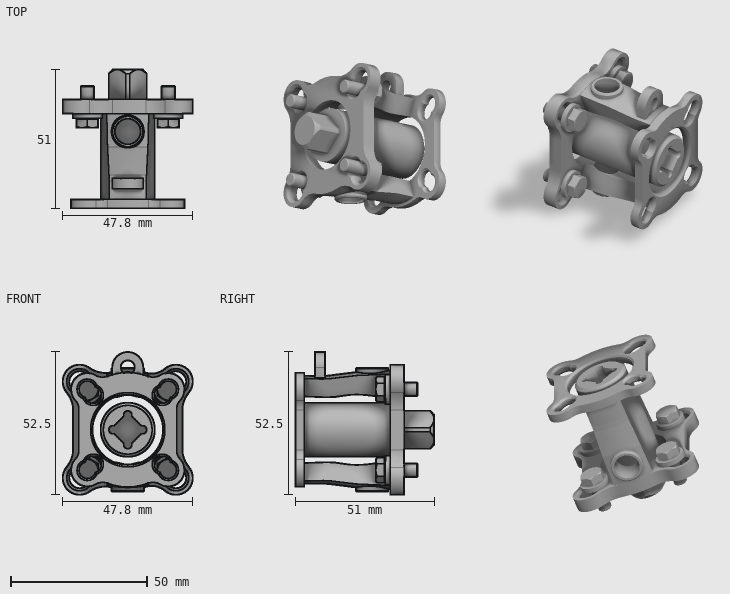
import cadquery as cq
import math


total_depth = 51.0
total_height = 52.55

small_pitch = 12.7
middle_pitch = 14.85
large_pitch = 17.7
bolt_pitch = middle_pitch

front_thickness = 3.3
front_lobe_radius = 6.0
front_side_width = 35.8
front_crown_radius = 21.0
front_blend = 4.95
front_hole_diameter = 6.1
front_hole_chamfer = 0.75

rear_face_y = 34.85
rear_thickness = 5.15
rear_end_y = rear_face_y + rear_thickness
rear_half_width = 47.85 / 2
rear_lobe_radius = rear_half_width - large_pitch
rear_side_width = 40.25
rear_crown_radius = 22.0
rear_blend = 10.0
rear_tight_blend = 7.5
rear_hole_diameter = 7.45
rear_bolt_hole_diameter = 6.1
rear_hole_chamfer = 1.0

centre_hole_diameter = 25.9
centre_hole_chamfer = 0.75

arm_half_angle = 20.0
arm_flare = 0.25
arm_front_radius = 19.85
arm_bend_start_y = 10.2
arm_bend_end_y = 12.4
arm_bend_end_radius = 19.95
arm_crease_y = 22.65
arm_crease_radius = 21.3
arm_crease_inner_radius = 13.75
arm_rear_radius = 21.85
arm_inner_rear_points = [(13.65, 25.25), (13.2, 29.1)]
arm_inner_front_points = [(12.75, 8.8), (12.75, 14.1), (13.65, 20.15)]

boss_y = 28.2
boss_diameter = 12.0
boss_hole_diameter = 9.4
boss_root = 18.4
boss_height = 22.85
boss_chamfer = 0.4

ear_radius = 5.7
ear_centre_z = total_height - rear_half_width - ear_radius
ear_root_z = 17.35
ear_y = 7.15
ear_thickness = 3.85
ear_hole_diameter = 5.1

shaft_diameter = 20.0
shaft_chamfer = 1.05
square_width = 11.0
square_corner_diameter = 14.0
square_chamfer = 1.5
socket_width = 9.15
socket_depth = 11.55
socket_relief_diameter = 3.05
socket_relief_offset = 5.4

washer_thickness = 1.8
washer_diameter = 10.8
washer_hole_diameter = 5.4
washer_front_y = rear_face_y - washer_thickness
bolt_diameter = 5.0
bolt_tip_y = 45.0
bolt_tip_chamfer = 0.35
collar_diameter = 6.9
collar_thickness = 0.3
head_width = 8.0
head_corner_diameter = head_width / math.cos(math.radians(30))
head_thickness = 3.15
head_bevel_height = 0.45
head_rear_y = washer_front_y - collar_thickness
head_front_y = head_rear_y - head_thickness



def cylinder_y(diameter, start_y, end_y, x=0.0, z=0.0):
    """A round bar parallel to Y."""
    return cq.Workplane("XZ", origin=(x, start_y, z)).circle(diameter / 2).extrude(start_y - end_y)


def cylinder_z(diameter, start_z, end_z, y):
    """A round bar parallel to Z in the plane X = 0."""
    return cq.Workplane("XY", origin=(0, y, start_z)).circle(diameter / 2).extrude(end_z - start_z)


def diamond_bar(width, start_y, end_y):
    """A square bar on the Y axis, standing on one edge."""
    return (
        cq.Workplane("XZ", origin=(0, start_y, 0))
        .transformed(rotate=(0, 0, 45))
        .rect(width, width)
        .extrude(start_y - end_y)
    )


def rim_chamfer(diameter, chamfer, rim_y, inward, x, z):
    """Cutter for a 45 degree chamfer on a hole rim; inward is the Y direction into the hole."""
    radius = diameter / 2
    rim_centre = cq.Vector(x, rim_y, z)
    cone = cq.Solid.makeCone(radius + chamfer, radius, chamfer, pnt=rim_centre, dir=cq.Vector(0, inward, 0))
    return cq.Workplane(cone)


def chamfered_hole(diameter, chamfer, start_y, end_y, x, z):
    """Cutter for a hole parallel to Y with both rims chamfered."""
    return (
        cylinder_y(diameter, start_y, end_y, x, z)
        .union(rim_chamfer(diameter, chamfer, start_y, 1, x, z))
        .union(rim_chamfer(diameter, chamfer, end_y, -1, x, z))
    )


def corner_points(offset):
    """Four points (X, Z) placed symmetrically around the shaft axis."""
    return [(x_sign * offset, z_sign * offset) for x_sign in (-1, 1) for z_sign in (-1, 1)]



def toward(start, end, distance):
    """The point at a distance from start in the direction of end."""
    span = math.dist(start, end)
    return tuple(a + (b - a) * distance / span for a, b in zip(start, end))


def arc_middle(centre, start, end):
    """The middle of the shorter arc from start to end around a centre."""
    chord_middle = tuple((a + b) / 2 for a, b in zip(start, end))
    return toward(centre, chord_middle, math.dist(centre, start))


def flange_half(lobe_offset, lobe_radius, side_width, crown_radius, side_blend, crown_blend, thickness):
    """The +X half of a flange: corner lobes joined by hollow blends to straight sides and round crowns."""
    axis = (0, 0)
    half_width = side_width / 2
    lobe = (lobe_offset, lobe_offset)

    side_x = half_width + side_blend
    side_z = lobe_offset - math.sqrt((side_blend + lobe_radius) ** 2 - (side_x - lobe_offset) ** 2)
    side_centre = (side_x, side_z)
    side_start = (half_width, side_z)
    side_end = toward(side_centre, lobe, side_blend)

    lobe_distance = math.hypot(*lobe)
    centre_distance = crown_radius + crown_blend
    opposite = lobe_radius + crown_blend
    cosine = (lobe_distance**2 + centre_distance**2 - opposite**2) / (2 * lobe_distance * centre_distance)
    angle = math.radians(45) + math.acos(cosine)
    crown_centre = (centre_distance * math.cos(angle), centre_distance * math.sin(angle))
    crown_start = toward(crown_centre, lobe, crown_blend)
    crown_end = toward(crown_centre, axis, crown_blend)
    crown_top = (0, crown_radius)

    quarter = (
        cq.Workplane("XZ")
        .lineTo(half_width, 0)
        .lineTo(*side_start)
        .threePointArc(arc_middle(side_centre, side_start, side_end), side_end)
        .threePointArc(toward(lobe, axis, -lobe_radius), crown_start)
        .threePointArc(arc_middle(crown_centre, crown_start, crown_end), crown_end)
        .threePointArc(arc_middle(axis, crown_end, crown_top), crown_top)
        .close()
        .extrude(-thickness)
    )
    return quarter.union(quarter.mirror("XY"))


def make_front_flange():
    half = flange_half(
        middle_pitch,
        front_lobe_radius,
        front_side_width,
        front_crown_radius,
        front_blend,
        front_blend,
        front_thickness,
    )
    flange = half.union(half.mirror("YZ")).clean()
    flange = flange.cut(cylinder_y(centre_hole_diameter, 0, front_thickness))
    flange = flange.cut(rim_chamfer(centre_hole_diameter, centre_hole_chamfer, 0, 1, 0, 0))
    for pitch in (small_pitch, middle_pitch):
        for x, z in corner_points(pitch):
            hole = chamfered_hole(front_hole_diameter, front_hole_chamfer, 0, front_thickness, x, z)
            flange = flange.cut(hole)
    return flange


def rear_flange_half(crown_blend):
    return flange_half(
        large_pitch,
        rear_lobe_radius,
        rear_side_width,
        rear_crown_radius,
        rear_blend,
        crown_blend,
        rear_thickness,
    ).translate((0, rear_face_y, 0))


def make_rear_flange():
    right_half = rear_flange_half(rear_tight_blend)
    left_half = rear_flange_half(rear_blend).mirror("YZ")
    flange = right_half.union(left_half).clean()
    flange = flange.cut(cylinder_y(centre_hole_diameter, rear_face_y, rear_end_y))
    for pitch, diameter in ((middle_pitch, rear_bolt_hole_diameter), (large_pitch, rear_hole_diameter)):
        for x, z in corner_points(pitch):
            hole = chamfered_hole(diameter, rear_hole_chamfer, rear_face_y, rear_end_y, x, z)
            flange = flange.cut(hole)
    return flange


def arm_section(y, extra_half_width):
    """Cross-section of the upper arm wedge, reaching past both faces of the ring."""
    slope = math.tan(math.radians(arm_half_angle))
    inner_z = centre_hole_diameter / 4
    outer_z = total_height / 2
    inner_x = inner_z * slope + extra_half_width
    outer_x = outer_z * slope + extra_half_width
    corners = [(inner_x, inner_z), (outer_x, outer_z), (-outer_x, outer_z), (-inner_x, inner_z)]
    return cq.Wire.makePolygon([cq.Vector(x, y, z) for x, z in corners], close=True)


def make_arms():
    """Two opposite arms between the flanges, cut from one ring turned about the shaft axis."""
    hole_radius = centre_hole_diameter / 2
    crease_inner = (arm_crease_inner_radius, arm_crease_y)
    ring = (
        cq.Workplane("XY")
        .moveTo(hole_radius, front_thickness)
        .lineTo(arm_front_radius, front_thickness)
        .lineTo(arm_front_radius, arm_bend_start_y)
        .tangentArcPoint((arm_bend_end_radius, arm_bend_end_y), relative=False)
        .lineTo(arm_crease_radius, arm_crease_y)
        .lineTo(arm_rear_radius, rear_face_y)
        .lineTo(hole_radius, rear_face_y)
        .spline([*reversed(arm_inner_rear_points), crease_inner], includeCurrent=True)
        .spline(
            [*reversed(arm_inner_front_points), (hole_radius, front_thickness)], includeCurrent=True
        )
        .close()
        .revolve(360, (0, 0, 0), (0, 1, 0))
    )
    sections = [arm_section(front_thickness, 0), arm_section(rear_face_y, arm_flare)]
    wedge = cq.Workplane(cq.Solid.makeLoft(sections, True))
    return ring.intersect(wedge.union(wedge.mirror("XY")))


def make_boss():
    return cylinder_z(boss_diameter, boss_root, boss_height, boss_y).faces(">Z").chamfer(boss_chamfer)


def make_ear():
    return (
        cq.Workplane("XZ", origin=(0, ear_y, 0))
        .moveTo(-ear_radius, ear_root_z)
        .lineTo(ear_radius, ear_root_z)
        .lineTo(ear_radius, ear_centre_z)
        .threePointArc((0, ear_centre_z + ear_radius), (-ear_radius, ear_centre_z))
        .close()
        .extrude(-ear_thickness)
        .cut(cylinder_y(ear_hole_diameter, ear_y, ear_y + ear_thickness, 0, ear_centre_z))
    )


def make_bracket():
    boss = make_boss()
    boss_hole = cylinder_z(boss_hole_diameter, -boss_height, boss_height, boss_y)
    return (
        make_arms()
        .union(make_front_flange())
        .union(make_rear_flange())
        .union(boss)
        .union(boss.mirror("XY"))
        .cut(boss_hole)
        .union(make_ear())
    )



def make_shaft():
    """A round shaft with a square drive at the rear and a relieved square socket at the front."""
    barrel = cylinder_y(shaft_diameter, 0, rear_end_y).faces("<Y").chamfer(shaft_chamfer)
    drive = cylinder_y(square_corner_diameter, rear_end_y, total_depth).faces(">Y").chamfer(square_chamfer)
    drive = drive.intersect(diamond_bar(square_width, rear_end_y, total_depth))
    socket = diamond_bar(socket_width, 0, socket_depth)
    reliefs = (
        cq.Workplane("XZ")
        .polarArray(socket_relief_offset, 0, 360, 4)
        .circle(socket_relief_diameter / 2)
        .extrude(-socket_depth)
    )
    return barrel.union(drive).cut(socket).cut(reliefs)



def make_washer(x, z):
    disc = cylinder_y(washer_diameter, washer_front_y, rear_face_y, x, z)
    return disc.cut(cylinder_y(washer_hole_diameter, washer_front_y, rear_face_y, x, z))


def make_bolt(x, z):
    """A hexagon bolt with a rounded head front, a thin collar and a plain shank."""
    hexagon = (
        cq.Workplane("XZ", origin=(x, head_front_y, z))
        .transformed(rotate=(0, 0, 30))
        .polygon(6, head_corner_diameter)
        .extrude(-head_thickness)
    )
    bevel_width = (head_corner_diameter - head_width) / 2
    envelope = (
        cylinder_y(head_corner_diameter, head_front_y, head_rear_y, x, z)
        .faces("<Y")
        .chamfer(head_bevel_height, bevel_width)
    )
    collar = cylinder_y(collar_diameter, head_rear_y, washer_front_y, x, z)
    shank = cylinder_y(bolt_diameter, head_rear_y, bolt_tip_y, x, z).faces(">Y").chamfer(bolt_tip_chamfer)
    return hexagon.intersect(envelope).union(collar).union(shank)



bracket = make_bracket()
shaft = make_shaft()
washers = [make_washer(x, z).val() for x, z in corner_points(bolt_pitch)]
bolts = [make_bolt(x, z).val() for x, z in corner_points(bolt_pitch)]

result = cq.Compound.makeCompound([bracket.val(), shaft.val(), *washers, *bolts])